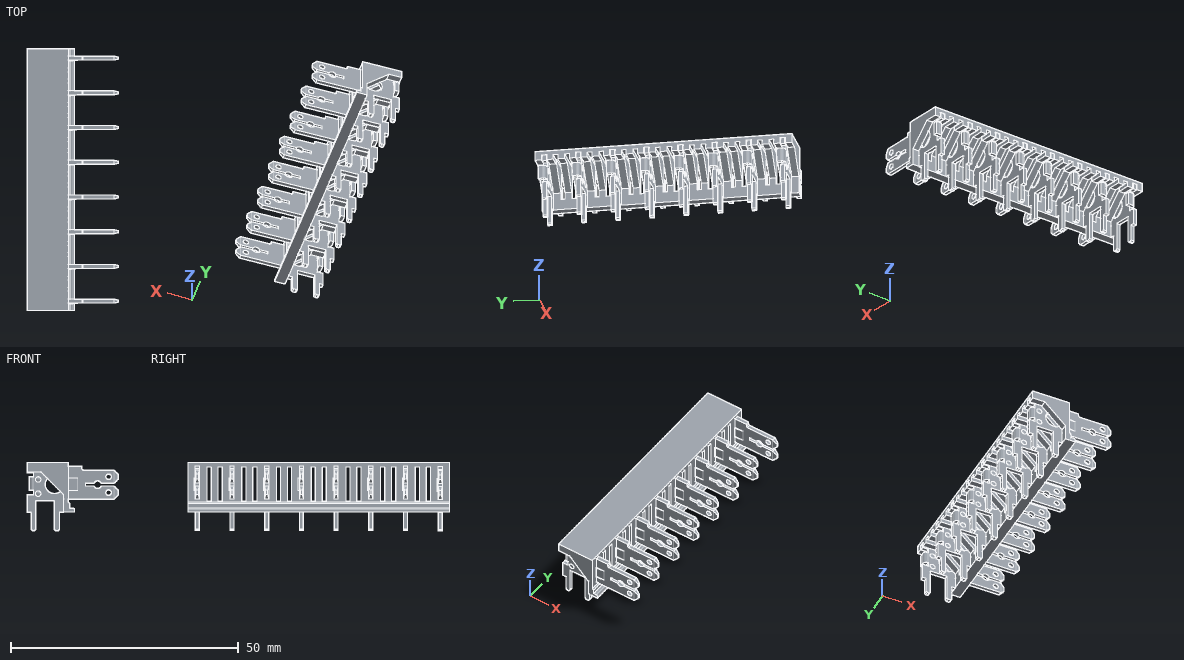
import cadquery as cq

LENGTH = 57.45
HOUSING_HEIGHT = 10.9
HOUSING_DEPTH = 9.0
LIP_HEIGHT = 2.05
LIP_DEPTH = 3.0
REAR_WALL_FRONT_X = 8.0
SLOPE_BOTTOM_Z = 3.85
FOOT_TOP_X = 9.35
FOOT_TOP_Z = 1.95
FOOT_STEP_Z = 2.25
HOOK_X = 10.4
HOOK_HEIGHT = 0.9
HOOK_ROUND = 0.35

TERMINAL_COUNT = 8
END_MARGIN = 2.05
PITCH = (LENGTH - 2 * END_MARGIN) / (TERMINAL_COUNT - 1)
END_TERMINAL_DROP = 0.1

SLOT_WIDTH = 0.85
SLOT_BOTTOM_Z = 2.4
SLOT_TOP_Z = 9.9
SLOT_OFFSET = 1.2
LIP_SLOT_EXTRA = 0.2
LIP_NOTCH_WIDTH = 1.2

THICKNESS = 0.9
TERMINAL_TOP_Z = 10.1
ARM_BOTTOM_Z = 8.75
RECESS_X = 1.4
RECESS_BOTTOM_Z = 3.85
CROTCH_Z = 2.6
LEG_BOTTOM_Z = -3.95
FRONT_LEG_X = (0.85, 1.9)
REAR_LEG_X = (5.9, 7.1)
LEG_CHAMFER = 0.3
WINDOW_DIAMETER = 4.0
WINDOW_CENTER = (6.0, 6.15)
SHOULDER_X = 12.0
SHOULDER_SLANT = 0.3

BLADE_END_X = 20.0
BLADE_CENTER_Z = 6.1
BLADE_HEIGHT = 6.3
TIP_LENGTH = 0.9
TIP_BEVEL = 0.25
PRONG_GAP = 0.65
GAP_START_X = 12.8
RELIEF_DIAMETER = 1.65
RELIEF_X = 15.45
HOLE_DIAMETER = 1.2
HOLE_X = 17.85

TAB_FRONT_X = 0.4
TAB_BOTTOM_Z = 4.8
TAB_TOP_Z = 7.8
TAB_REACH = 1.45
TAB_BEND_RADIUS = 0.85
DOME_DIAMETER = 1.2
DOME_HEIGHT = 0.2
DOME_X = 2.4
DOME_HEIGHTS_Z = (7.2, 4.1)
BARB_END_X = 11.1
BARB_HEIGHT = 0.25
BARB_BOTTOM_Z = 4.7
BARB_TOP_Z = 7.45

BLADE_BOTTOM_Z = BLADE_CENTER_Z - BLADE_HEIGHT / 2
BLADE_TOP_Z = BLADE_CENTER_Z + BLADE_HEIGHT / 2
PRONG_HEIGHT = (BLADE_HEIGHT - PRONG_GAP) / 2
PRONG_OFFSET = (PRONG_GAP + PRONG_HEIGHT) / 2
FIRST_TERMINAL_Y = END_MARGIN - LENGTH / 2
TERMINAL_PLACES = [
    (FIRST_TERMINAL_Y + i * PITCH, -END_TERMINAL_DROP if i == TERMINAL_COUNT - 1 else 0.0)
    for i in range(TERMINAL_COUNT)
]


def block(x_range, y_range, z_range):
    """Rectangular block between the given limits."""
    return cq.Workplane("XY").box(
        x_range[1] - x_range[0], y_range[1] - y_range[0], z_range[1] - z_range[0], centered=False
    ).translate((x_range[0], y_range[0], z_range[0]))


def centered_extrude(sketch, width):
    """Extrude an XZ outline evenly to both sides of Y = 0."""
    return sketch.extrude(width / 2, both=True)


def cross_cylinder(diameter, x, z, width):
    """Cylinder along Y, centred on Y = 0."""
    return centered_extrude(cq.Workplane("XZ").center(x, z).circle(diameter / 2), width)


def housing_body():
    section = (
        cq.Workplane("XZ")
        .moveTo(0, HOUSING_HEIGHT)
        .lineTo(HOUSING_DEPTH, HOUSING_HEIGHT)
        .lineTo(HOUSING_DEPTH, FOOT_STEP_Z)
        .lineTo(FOOT_TOP_X, FOOT_TOP_Z)
        .lineTo(FOOT_TOP_X, HOOK_HEIGHT)
        .lineTo(HOOK_X - HOOK_ROUND, HOOK_HEIGHT)
        .radiusArc((HOOK_X, HOOK_HEIGHT - HOOK_ROUND), HOOK_ROUND)
        .lineTo(HOOK_X, 0)
        .lineTo(REAR_WALL_FRONT_X, 0)
        .lineTo(REAR_WALL_FRONT_X, SLOPE_BOTTOM_Z)
        .lineTo(LIP_DEPTH, HOUSING_HEIGHT - LIP_HEIGHT)
        .lineTo(0, HOUSING_HEIGHT - LIP_HEIGHT)
        .close()
    )
    body = centered_extrude(section, LENGTH)
    for y, drop in TERMINAL_PLACES:
        body = body.cut(terminal_pocket().translate((0, y, drop)))
    for y, _ in TERMINAL_PLACES[:-1]:
        gap_middle = y + PITCH / 2
        for side in (-1, 1):
            body = body.cut(ventilation_slot(gap_middle + side * SLOT_OFFSET, side))
    return body


def terminal_pocket():
    """Snug slot for the plate, opening into a wider notch through the lip."""
    half = THICKNESS / 2
    snug = block((0, HOUSING_DEPTH), (-half, half), (BLADE_BOTTOM_Z, TERMINAL_TOP_Z))
    half_notch = LIP_NOTCH_WIDTH / 2
    notch = block((0, LIP_DEPTH), (-half_notch, half_notch), (BLADE_BOTTOM_Z, TERMINAL_TOP_Z))
    return snug.union(notch)


def ventilation_slot(y, side):
    """Slot through the housing along X, wider through the lip on the terminal side."""
    half = SLOT_WIDTH / 2
    z_range = (SLOT_BOTTOM_Z, SLOT_TOP_Z)
    slot = block((0, HOUSING_DEPTH), (y - half, y + half), z_range)
    outer_edge = y + side * half
    widened_edge = outer_edge + side * LIP_SLOT_EXTRA
    widening = block((0, LIP_DEPTH), sorted((outer_edge, widened_edge)), z_range)
    return slot.union(widening)


def terminal_plate():
    outline = cq.Workplane("XZ").polyline([
        (0, TERMINAL_TOP_Z),
        (SHOULDER_X, TERMINAL_TOP_Z),
        (SHOULDER_X, BLADE_TOP_Z + SHOULDER_SLANT),
        (SHOULDER_X + SHOULDER_SLANT, BLADE_TOP_Z),
        (BLADE_END_X - TIP_LENGTH, BLADE_TOP_Z),
        (BLADE_END_X - TIP_LENGTH, BLADE_BOTTOM_Z),
        (REAR_WALL_FRONT_X, BLADE_BOTTOM_Z),
        (REAR_WALL_FRONT_X, 0),
        (0, 0),
        (0, RECESS_BOTTOM_Z),
        (RECESS_X, RECESS_BOTTOM_Z),
        (RECESS_X, ARM_BOTTOM_Z),
        (0, ARM_BOTTOM_Z),
    ]).close()
    plate = centered_extrude(outline, THICKNESS)
    half = THICKNESS / 2
    between_legs = block((FRONT_LEG_X[1], REAR_LEG_X[0]), (-half, half), (0, CROTCH_Z))
    plate = plate.cut(between_legs)
    return plate.cut(cross_cylinder(WINDOW_DIAMETER, *WINDOW_CENTER, THICKNESS))


def leg(x_range):
    half = THICKNESS / 2
    post = block(x_range, (-half, half), (LEG_BOTTOM_Z, 0))
    return post.faces("<Z").edges("|Y").chamfer(LEG_CHAMFER)


def blade_tip(z):
    """Tapered end of one prong, centred at height z."""
    start_x = BLADE_END_X - TIP_LENGTH
    half_height = PRONG_HEIGHT / 2
    half_end = half_height - TIP_LENGTH
    half = THICKNESS / 2
    profile = centered_extrude(
        cq.Workplane("XZ").polyline([
            (start_x, z - half_height),
            (start_x, z + half_height),
            (BLADE_END_X, z + half_end),
            (BLADE_END_X, z - half_end),
        ]).close(),
        THICKNESS,
    )
    thinning = (
        cq.Workplane("XY", origin=(0, 0, z - half_height))
        .polyline([
            (start_x, -half),
            (BLADE_END_X, -half + TIP_BEVEL),
            (BLADE_END_X, half - TIP_BEVEL),
            (start_x, half),
        ]).close()
        .extrude(PRONG_HEIGHT)
    )
    return profile.intersect(thinning)


def bent_tab():
    """Tab on the front edge, turned a right angle towards +Y."""
    half = THICKNESS / 2
    tab = block((TAB_FRONT_X, RECESS_X), (-half, half), (TAB_BOTTOM_Z, TAB_TOP_Z))
    flange = block((TAB_FRONT_X, TAB_FRONT_X + THICKNESS), (-half, TAB_REACH), (TAB_BOTTOM_Z, TAB_TOP_Z))
    return tab.union(flange).edges("|Z and <X and <Y").fillet(TAB_BEND_RADIUS)


def dome(z):
    """Low spherical bump on the -Y face."""
    radius = ((DOME_DIAMETER / 2) ** 2 + DOME_HEIGHT ** 2) / (2 * DOME_HEIGHT)
    face_y = -THICKNESS / 2
    return (
        cq.Workplane("XY", origin=(DOME_X, 0, z))
        .moveTo(0, face_y)
        .lineTo(0, face_y - DOME_HEIGHT)
        .radiusArc((DOME_DIAMETER / 2, face_y), -radius)
        .close()
        .revolve(360, (0, 0), (0, 1))
    )


def barb():
    """Wedge on the -Y face, highest against the rear of the housing."""
    face_y = -THICKNESS / 2
    return (
        cq.Workplane("XY", origin=(0, 0, BARB_BOTTOM_Z))
        .polyline([
            (HOUSING_DEPTH, 0),
            (HOUSING_DEPTH, face_y - BARB_HEIGHT),
            (BARB_END_X, face_y),
            (BARB_END_X, 0),
        ]).close()
        .extrude(BARB_TOP_Z - BARB_BOTTOM_Z)
    )


def prong_gap():
    """Slit between the prongs with its round relief."""
    half = THICKNESS / 2
    half_gap = PRONG_GAP / 2
    slit = block(
        (GAP_START_X, BLADE_END_X), (-half, half), (BLADE_CENTER_Z - half_gap, BLADE_CENTER_Z + half_gap)
    )
    return slit.union(cross_cylinder(RELIEF_DIAMETER, RELIEF_X, BLADE_CENTER_Z, THICKNESS))


def terminal_body():
    body = terminal_plate().union(leg(FRONT_LEG_X)).union(leg(REAR_LEG_X))
    body = body.union(bent_tab()).union(barb())
    for z in DOME_HEIGHTS_Z:
        body = body.union(dome(z))
    body = body.cut(prong_gap())
    for side in (-1, 1):
        prong_z = BLADE_CENTER_Z + side * PRONG_OFFSET
        body = body.union(blade_tip(prong_z))
        body = body.cut(cross_cylinder(HOLE_DIAMETER, HOLE_X, prong_z, THICKNESS))
    return body


housing = housing_body()
terminal = terminal_body()
terminals = [terminal.translate((0, y, drop)).val() for y, drop in TERMINAL_PLACES]

result = cq.Compound.makeCompound([housing.val(), *terminals])